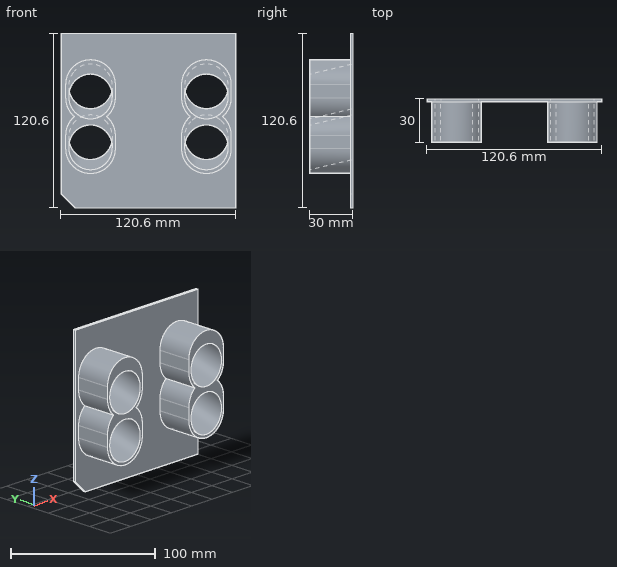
import cadquery as cq
import math

plate_side = 120.6
plate_thickness = 2.0
corner_cut = 9.8

total_depth = 30.0
socket_width = 34.3
socket_straight = 9.2
column_spacing = 80.0
row_spacing = 35.1
lower_socket_z = -14.7

bore_diameter = 30.0
bore_tilt = 13.4
lower_mouth_z = -18.5
bore_overrun = 12

socket_x = (-column_spacing / 2, column_spacing / 2)
row_offsets = (0, row_spacing)


def make_plate():
    """Square plate with its lower left corner cut off."""
    half = plate_side / 2
    return (
        cq.Workplane("XZ")
        .moveTo(-half + corner_cut, -half)
        .lineTo(half, -half)
        .lineTo(half, half)
        .lineTo(-half, half)
        .lineTo(-half, -half + corner_cut)
        .close()
        .extrude(plate_thickness)
    )


def make_socket(x, z):
    """Upright oblong boss, from the back of the plate to the socket mouth."""
    return (
        cq.Workplane("XZ")
        .center(x, z)
        .slot2D(socket_width + socket_straight, socket_width, 90)
        .extrude(total_depth)
    )


def make_bore(x, mouth_z):
    """Tilted cylinder whose axis crosses the socket mouth at mouth_z."""
    tilt = math.radians(bore_tilt)
    axis = cq.Vector(0, math.cos(tilt), math.sin(tilt))
    mouth = cq.Vector(x, -total_depth, mouth_z)
    length = total_depth / math.cos(tilt) + 2 * bore_overrun
    return cq.Solid.makeCylinder(bore_diameter / 2, length, mouth - axis * bore_overrun, axis)


result = make_plate()
for x in socket_x:
    for offset in row_offsets:
        result = result.union(make_socket(x, lower_socket_z + offset))

for x in socket_x:
    for offset in row_offsets:
        result = result.cut(make_bore(x, lower_mouth_z + offset))